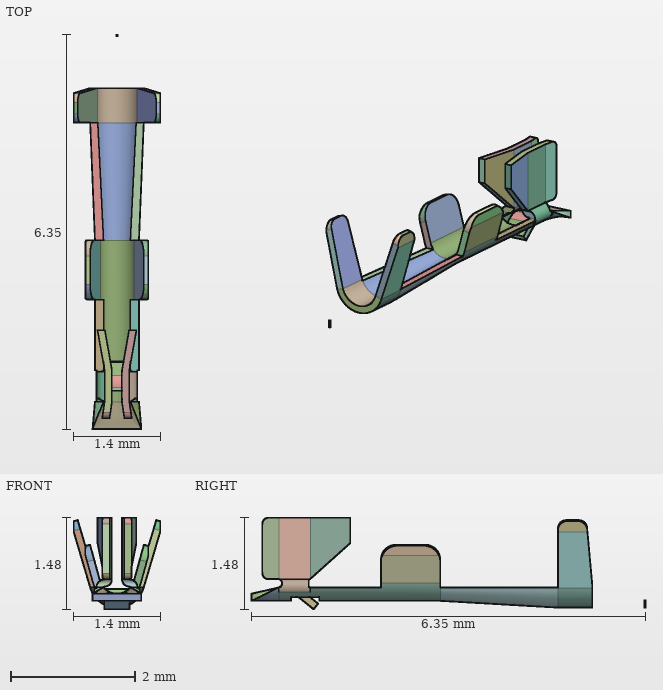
import cadquery as cq
import math


SHEET = 0.118

LIP_END = 0.442
NECK_FRONT = 0.494
NECK_REAR = 0.925
CHANNEL_FRONT = 0.945
WIRE_CRIMP_FRONT = 2.087
WIRE_CRIMP_REAR = 3.043
INSULATION_CRIMP_FRONT = 4.937
INSULATION_CRIMP_REAR = 5.495
CONTACT_LENGTH = 6.35

CHANNEL_RADIUS = 0.40
CHANNEL_TOP = 0.219
INSULATION_RADIUS = 0.45
INSULATION_FLOOR = -0.11

LIP_WIDTH = 0.79

WIRE_WING_TILT = 15.5
WIRE_WING_LENGTH = 0.605
WIRE_WING_ROUND = 0.25
WIRE_WING_HALF_SPAN = 0.508

INSULATION_WING_TILT = 16.5
INSULATION_WING_LENGTH = 1.105
INSULATION_WING_ROUND = 0.145
INSULATION_WING_HALF_SPAN = 0.70
INSULATION_WING_SLANT = 5.0

BLADE_INSIDE = 0.08
BLADE_FRONT = 0.175
BLADE_REAR = 1.595
BLADE_BOTTOM = 0.35
BLADE_TOP = 1.342
BLADE_REAR_BOTTOM = 0.932
BLADE_ROUND = 0.10
BLADE_FRONT_FLARE = 0.04
BLADE_REAR_FLARE = 0.116

NECK_START_HEIGHT = 0.145
NECK_START_ANGLE = math.acos(1 - NECK_START_HEIGHT / CHANNEL_RADIUS)
REAR_NOTCH_ROUND = 0.018

LANCE_WIDTH = 0.41
LANCE_TIP_Y = 1.077
LANCE_BEND_REAR = 0.866
LANCE_BEND_FRONT = 0.675
LANCE_FRONT = 0.62
LANCE_CREST = 0.195
LANCE_SLOPE = 39.0
WINDOW_FRONT = 0.639
WINDOW_REAR = 1.09

CHIP_SIZE = 0.02


def xz_plane(y):
    """Workplane across the contact; a negative extrusion from it runs toward +Y."""
    return cq.Workplane("XZ", origin=(0, y, 0))


def both_sides(shape):
    return shape.union(shape.mirror("YZ"))


def trough_outline(plane, radius, floor, outer_end, inner_end):
    """Arc-shaped sheet section whose ends join the given outside and inside points."""
    outer_x, outer_z = outer_end
    inner_x, inner_z = inner_end
    return (
        plane.moveTo(-outer_x, outer_z)
        .threePointArc((0, floor), (outer_x, outer_z))
        .lineTo(inner_x, inner_z)
        .threePointArc((0, floor + SHEET), (-inner_x, inner_z))
        .close()
    )


def level_ends(radius, floor):
    """Outside and inside end points of a trough section cut level at the channel top."""
    drop = floor + radius - CHANNEL_TOP
    outer_x = math.sqrt(radius**2 - drop**2)
    inner_x = math.sqrt((radius - SHEET) ** 2 - drop**2)
    return (outer_x, CHANNEL_TOP), (inner_x, CHANNEL_TOP)


def level_trough(plane, radius, floor):
    """Trough section with its edges cut level at the channel top."""
    return trough_outline(plane, radius, floor, *level_ends(radius, floor))


def square_trough(plane, radius, floor, angle):
    """Trough section spanning an angle each side of the bottom, with edges cut square to the sheet."""
    inner = radius - SHEET
    sine = math.sin(angle)
    cosine = math.cos(angle)
    centre = floor + radius
    return trough_outline(
        plane,
        radius,
        floor,
        (radius * sine, centre - radius * cosine),
        (inner * sine, centre - inner * cosine),
    )


def wing_pair(radius, floor, tilt, front, rear, length, rounding, half_span, slant):
    """Two wings rising tangent to a trough, with rounded tips and upright outer tip faces."""
    lean = math.radians(tilt)
    plane = cq.Plane(
        origin=(radius * math.cos(lean), 0, floor + radius * (1 - math.sin(lean))),
        xDir=(0, 1, 0),
        normal=(math.cos(lean), 0, -math.sin(lean)),
    )
    tip_rear = rear - length * math.tan(math.radians(slant))
    wing = (
        cq.Workplane(plane)
        .polyline([(front, 0), (rear, 0), (tip_rear, length), (front, length)])
        .close()
        .extrude(-SHEET)
        .edges(cq.selectors.ParallelDirSelector(plane.zDir))
        .edges(">Z")
        .fillet(rounding)
    )
    space = cq.Workplane("XY").box(2 * half_span, 2 * CONTACT_LENGTH, 4 * length)
    return both_sides(wing.intersect(space))


def crimp(radius, floor, tilt, front, rear, **wing):
    bottom = square_trough(xz_plane(front), radius, floor, math.radians(90 - tilt)).extrude(front - rear)
    return bottom.union(wing_pair(radius, floor, tilt, front, rear, **wing))


def both_ends(y, end):
    """Left and right points of a symmetric section at a station along Y."""
    x, z = end
    return [cq.Vector(-x, y, z), cq.Vector(x, y, z)]


def lip():
    """Trough section flattening into a straight strip at the front, with ruled faces between."""
    outer_end, inner_end = level_ends(CHANNEL_RADIUS, 0)
    strip_half = LIP_WIDTH / 2
    trough_corners = both_ends(LIP_END, outer_end) + both_ends(LIP_END, inner_end)
    strip_corners = both_ends(0, (strip_half, 0)) + both_ends(0, (strip_half, SHEET))

    outer_left, outer_right, inner_left, inner_right = trough_corners
    trough_edges = [
        cq.Edge.makeThreePointArc(outer_left, cq.Vector(0, LIP_END, 0), outer_right),
        cq.Edge.makeLine(outer_right, inner_right),
        cq.Edge.makeThreePointArc(inner_right, cq.Vector(0, LIP_END, SHEET), inner_left),
        cq.Edge.makeLine(inner_left, outer_left),
    ]
    under_left, under_right, top_left, top_right = strip_corners
    strip_edges = [
        cq.Edge.makeLine(under_left, under_right),
        cq.Edge.makeLine(under_right, top_right),
        cq.Edge.makeLine(top_right, top_left),
        cq.Edge.makeLine(top_left, under_left),
    ]
    walls = [cq.Face.makeRuledSurface(*pair) for pair in zip(trough_edges, strip_edges)]
    ends = [cq.Face.makeFromWires(cq.Wire.assembleEdges(edges)) for edges in (trough_edges, strip_edges)]
    return cq.Workplane(cq.Solid.makeSolid(cq.Shell.makeShell(walls + ends)))


def trough_run():
    """Floor and low walls from the lip to the insulation crimp, leaving the neck zone low."""
    low = square_trough(xz_plane(LIP_END), CHANNEL_RADIUS, 0, NECK_START_ANGLE)
    low = low.extrude(LIP_END - CHANNEL_FRONT)
    channel = level_trough(xz_plane(CHANNEL_FRONT), CHANNEL_RADIUS, 0)
    channel = channel.extrude(CHANNEL_FRONT - WIRE_CRIMP_FRONT)
    near = level_trough(xz_plane(WIRE_CRIMP_REAR), CHANNEL_RADIUS, 0).val()
    far = level_trough(xz_plane(INSULATION_CRIMP_FRONT), INSULATION_RADIUS, INSULATION_FLOOR).val()
    flare = cq.Workplane(cq.Solid.makeLoft([near, far], True))
    return low.union(channel).union(flare)


def neck_front_notch():
    """Full-round relief below the blade at the front of a neck."""
    height = BLADE_BOTTOM - CHANNEL_TOP
    length = 2 * (NECK_FRONT - BLADE_FRONT)
    middle = (BLADE_FRONT, (BLADE_BOTTOM + CHANNEL_TOP) / 2)
    return cq.Workplane("YZ").center(*middle).slot2D(length, height).extrude(LIP_WIDTH, both=True)


def neck_rear_notch():
    """Shallow relief below the blade at the rear of a neck, with rounded inner corners."""
    height = BLADE_BOTTOM - CHANNEL_TOP
    length = CHANNEL_FRONT - NECK_REAR
    return (
        cq.Workplane("XY", origin=(0, NECK_REAR + length / 2, CHANNEL_TOP))
        .box(LIP_WIDTH, length, height, centered=(True, True, False))
        .edges("|X and <Y")
        .fillet(REAR_NOTCH_ROUND)
    )


def necks():
    """S-bends that carry the low walls inward and up to the blades."""
    inner = CHANNEL_RADIUS - SHEET
    outer_start = (CHANNEL_RADIUS * math.sin(NECK_START_ANGLE), NECK_START_HEIGHT)
    inner_start = (
        inner * math.sin(NECK_START_ANGLE),
        CHANNEL_RADIUS - inner * math.cos(NECK_START_ANGLE),
    )
    blade_outside = BLADE_INSIDE + SHEET
    diagonal = SHEET * math.sqrt(0.5)
    rise = BLADE_BOTTOM - NECK_START_HEIGHT
    reach = outer_start[0] - blade_outside
    roll_radius = (rise**2 + reach**2) / (2 * rise)
    roll_middle = (blade_outside + roll_radius, BLADE_BOTTOM - roll_radius)
    neck = (
        xz_plane(LIP_END)
        .moveTo(*outer_start)
        .threePointArc(roll_middle, (blade_outside, BLADE_BOTTOM))
        .lineTo(BLADE_INSIDE, BLADE_BOTTOM)
        .threePointArc(
            (blade_outside - diagonal, BLADE_BOTTOM - diagonal),
            (blade_outside, BLADE_BOTTOM - SHEET),
        )
        .lineTo(*inner_start)
        .close()
        .extrude(LIP_END - CHANNEL_FRONT)
    )
    return both_sides(neck.cut(neck_front_notch()).cut(neck_rear_notch()))


def blades():
    """Upright blades, parallel over the necks and flared outward at both ends."""
    inside_line = [
        (BLADE_INSIDE + BLADE_FRONT_FLARE, BLADE_FRONT),
        (BLADE_INSIDE, LIP_END),
        (BLADE_INSIDE, CHANNEL_FRONT),
        (BLADE_INSIDE + BLADE_REAR_FLARE, BLADE_REAR),
    ]
    outside_line = [(x + SHEET, y) for x, y in reversed(inside_line)]
    bent_strip = cq.Workplane("XY").polyline(inside_line + outside_line).close().extrude(BLADE_TOP)
    side_shape = (
        cq.Workplane("YZ")
        .polyline(
            [
                (BLADE_FRONT, BLADE_BOTTOM),
                (CHANNEL_FRONT, BLADE_BOTTOM),
                (BLADE_REAR, BLADE_REAR_BOTTOM),
                (BLADE_REAR, BLADE_TOP),
                (BLADE_FRONT, BLADE_TOP),
            ]
        )
        .close()
        .extrude(LIP_WIDTH)
        .edges("|X and <Y")
        .fillet(BLADE_ROUND)
    )
    return both_sides(bent_strip.intersect(side_shape))


def lance():
    """Tongue raised above the floor at its root, then bent down to a tip below it."""
    slope = math.radians(LANCE_SLOPE)
    top_radius = (LANCE_BEND_REAR - LANCE_BEND_FRONT) / math.sin(slope)
    under_radius = top_radius - SHEET
    centre_z = LANCE_CREST - top_radius

    def on_bend(radius, angle):
        return (LANCE_BEND_FRONT + radius * math.sin(angle), centre_z + radius * math.cos(angle))

    bend_end = on_bend(top_radius, slope)
    tip_top = (LANCE_TIP_Y, bend_end[1] - (LANCE_TIP_Y - bend_end[0]) * math.tan(slope))
    tip_under = (tip_top[0] - SHEET * math.sin(slope), tip_top[1] - SHEET * math.cos(slope))
    return (
        cq.Workplane("YZ")
        .moveTo(LANCE_FRONT, LANCE_CREST)
        .lineTo(LANCE_BEND_FRONT, LANCE_CREST)
        .threePointArc(on_bend(top_radius, slope / 2), bend_end)
        .lineTo(*tip_top)
        .lineTo(*tip_under)
        .lineTo(*on_bend(under_radius, slope))
        .threePointArc(on_bend(under_radius, slope / 2), on_bend(under_radius, 0))
        .lineTo(LANCE_FRONT, LANCE_CREST - SHEET)
        .close()
        .extrude(LANCE_WIDTH / 2, both=True)
    )


def lance_window():
    """Opening in the floor from which the lance is pressed."""
    length = WINDOW_REAR - WINDOW_FRONT
    middle = (WINDOW_REAR + WINDOW_FRONT) / 2
    return cq.Workplane("XY").box(LANCE_WIDTH, length, 2 * CHANNEL_TOP).translate((0, middle, 0))


def make_contact():
    wire_crimp = crimp(
        CHANNEL_RADIUS,
        0,
        WIRE_WING_TILT,
        WIRE_CRIMP_FRONT,
        WIRE_CRIMP_REAR,
        length=WIRE_WING_LENGTH,
        rounding=WIRE_WING_ROUND,
        half_span=WIRE_WING_HALF_SPAN,
        slant=0,
    )
    insulation_crimp = crimp(
        INSULATION_RADIUS,
        INSULATION_FLOOR,
        INSULATION_WING_TILT,
        INSULATION_CRIMP_FRONT,
        INSULATION_CRIMP_REAR,
        length=INSULATION_WING_LENGTH,
        rounding=INSULATION_WING_ROUND,
        half_span=INSULATION_WING_HALF_SPAN,
        slant=INSULATION_WING_SLANT,
    )
    body = lip().union(trough_run()).union(wire_crimp).union(insulation_crimp)
    return body.cut(lance_window()).union(lance()).union(necks()).union(blades())


def make_carrier_chip():
    """Speck of the carrier strip left behind the contact, level with the insulation crimp floor."""
    chip = cq.Workplane("XY").box(CHIP_SIZE, CHIP_SIZE, SHEET)
    return chip.translate((0, CONTACT_LENGTH - CHIP_SIZE / 2, INSULATION_FLOOR + SHEET / 2))


contact = make_contact()
carrier_chip = make_carrier_chip()
result = cq.Compound.makeCompound([contact.val(), carrier_chip.val()])